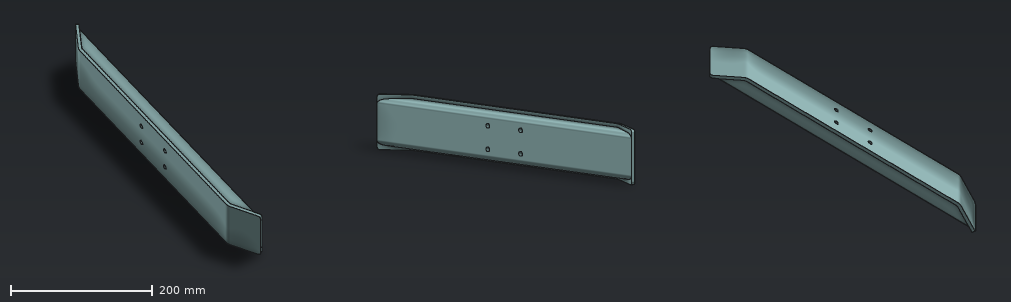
import cadquery as cq
import math

length = 457.0
depth = 30.0
height = 80.0
thickness = 5.0
wing_angle = math.radians(30)
bend_radius = 15.0
corner_radius = 5.0

block_margin = 5.0
block_draft = math.radians(4)
block_edge_radius = 8.0

hole_diameter = 6.5
hole_spacing_x = 58.0
hole_spacing_z = 34.0

half_length = length / 2
tip_y = depth - thickness * math.cos(wing_angle)
tip_inner_x = half_length - thickness * math.sin(wing_angle)
outer_corner_x = half_length - tip_y / math.tan(wing_angle)
inner_corner_x = outer_corner_x - thickness * math.tan(wing_angle / 2)


def extrude_outline(points):
    """Extrude an XY outline over the full height, centred on Z = 0."""
    return cq.Workplane("XY").polyline(points).close().extrude(height / 2, both=True)


def make_plate():
    """Constant-thickness plate with concentric bends and rounded wing corners."""
    plate = extrude_outline([
        (-outer_corner_x, 0),
        (outer_corner_x, 0),
        (half_length, tip_y),
        (tip_inner_x, depth),
        (inner_corner_x, thickness),
        (-inner_corner_x, thickness),
        (-tip_inner_x, depth),
        (-half_length, tip_y),
    ])
    for side in (-1, 1):
        for x, y, radius in (
            (outer_corner_x, 0, bend_radius),
            (inner_corner_x, thickness, bend_radius - thickness),
        ):
            bend_edge = cq.selectors.NearestToPointSelector((side * x, y, 0))
            plate = plate.edges("|Z").edges(bend_edge).fillet(radius)
    return round_wing_corners(plate)


def round_wing_corners(plate):
    """Round the corner edges that run through the thickness at the wing tips."""
    middle_x = (half_length + tip_inner_x) / 2
    middle_y = (tip_y + depth) / 2
    for side in (-1, 1):
        for end in (-1, 1):
            corner_center = (side * middle_x, middle_y, end * height / 2)
            corner = cq.selectors.NearestToPointSelector(corner_center)
            plate = plate.edges(corner).fillet(corner_radius)
    return plate


def make_block():
    """Tapered backing block, trimmed to the inner faces of the plate."""
    front_half_height = height / 2 - block_margin
    rear_half_height = front_half_height - (depth - thickness) * math.tan(block_draft)
    profile = [
        (thickness, -front_half_height),
        (thickness, front_half_height),
        (depth, rear_half_height),
        (depth, -rear_half_height),
    ]
    block = cq.Workplane("YZ").polyline(profile).close().extrude(half_length, both=True)
    block = block.edges("|X and >Y").fillet(block_edge_radius)
    pocket = extrude_outline([
        (-inner_corner_x, thickness),
        (inner_corner_x, thickness),
        (tip_inner_x, depth),
        (-tip_inner_x, depth),
    ])
    return block.intersect(pocket)


def make_holes():
    """Four through holes in a rectangle about the centre."""
    return (
        cq.Workplane("XZ")
        .rect(hole_spacing_x, hole_spacing_z, forConstruction=True)
        .vertices()
        .circle(hole_diameter / 2)
        .extrude(-depth)
    )


result = make_plate().union(make_block()).cut(make_holes())